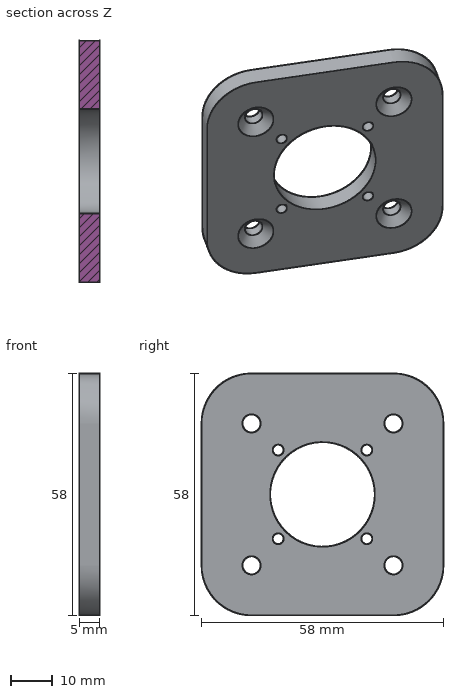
import cadquery as cq

side = 58.0
thickness = 5.0
corner_radius = 12.0

bore_diameter = 25.0
pin_hole_diameter = 2.55
pin_hole_spacing = 21.2

screw_hole_diameter = 4.3
screw_hole_spacing = side - 2 * corner_radius
countersink_diameter = 8.7
countersink_angle = 90.0


def square_pattern(workplane, spacing):
    """Place a point at each corner of a centred square."""
    return workplane.rect(spacing, spacing, forConstruction=True).vertices()


plate = (
    cq.Workplane("YZ")
    .rect(side, side)
    .extrude(thickness / 2, both=True)
    .edges("|X")
    .fillet(corner_radius)
)

front = plate.faces("<X").workplane(origin=(0, 0, 0))
plate = front.hole(bore_diameter)
front = plate.faces("<X").workplane(origin=(0, 0, 0))
plate = square_pattern(front, pin_hole_spacing).hole(pin_hole_diameter)

front = plate.faces("<X").workplane(origin=(0, 0, 0))
result = square_pattern(front, screw_hole_spacing).cskHole(
    screw_hole_diameter, countersink_diameter, countersink_angle
)